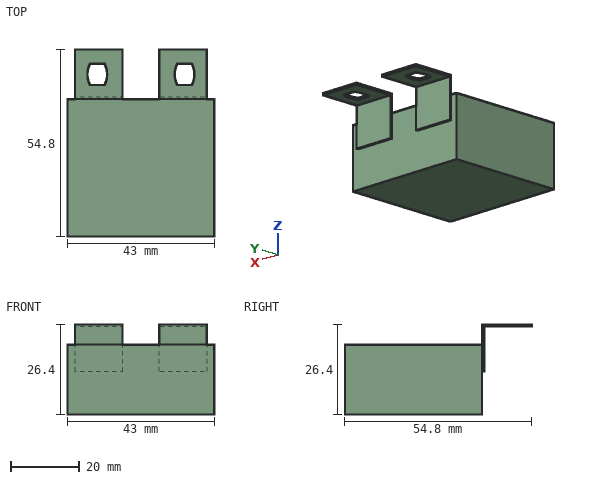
import cadquery as cq

block_width = 43.0
block_depth = 40.2
block_height = 20.45

overall_depth = 54.8
overall_height = 26.4
terminal_width = 14.0
terminal_thickness = 0.6
terminal_edge_inset = 2.2
terminal_leg_length = 13.85
terminal_offset = block_width / 2 - terminal_edge_inset - terminal_width / 2

hole_width = 5.7
hole_flat_length = 4.2
hole_depth = 6.15
hole_setback = 7.35
hole_outward_shift = 0.45


def make_block():
    return cq.Workplane("XY").box(
        block_width, block_depth, block_height, centered=(True, False, False)
    )


def make_terminal_hole(center_x):
    """Cutter for the hole through the flat tab of a terminal."""
    half_flat = hole_flat_length / 2
    half_width = hole_width / 2
    half_depth = hole_depth / 2
    center_y = overall_depth - hole_setback
    return (
        cq.Workplane("XY", origin=(center_x, center_y, overall_height))
        .moveTo(-half_flat, -half_depth)
        .lineTo(half_flat, -half_depth)
        .threePointArc((half_width, 0), (half_flat, half_depth))
        .lineTo(-half_flat, half_depth)
        .threePointArc((-half_width, 0), (-half_flat, -half_depth))
        .close()
        .extrude(-terminal_thickness)
    )


def make_terminal(side):
    """One terminal; side is -1 for the -X terminal and +1 for the +X terminal."""
    center_x = side * terminal_offset
    leg_bottom = overall_height - terminal_leg_length
    leg_back = block_depth + terminal_thickness
    tab_underside = overall_height - terminal_thickness
    strip = (
        cq.Workplane("YZ", origin=(center_x, 0, 0))
        .moveTo(block_depth, leg_bottom)
        .lineTo(block_depth, overall_height)
        .lineTo(overall_depth, overall_height)
        .lineTo(overall_depth, tab_underside)
        .lineTo(leg_back, tab_underside)
        .lineTo(leg_back, leg_bottom)
        .close()
        .extrude(terminal_width / 2, both=True)
    )
    return strip.cut(make_terminal_hole(center_x + side * hole_outward_shift))


block = make_block()
terminals = [make_terminal(side) for side in (-1, 1)]

result = cq.Compound.makeCompound([block.val(), *[terminal.val() for terminal in terminals]])